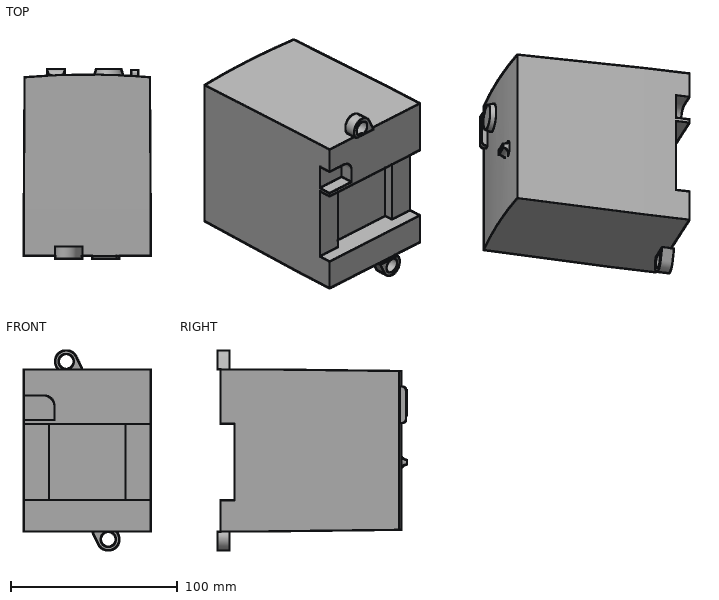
import cadquery as cq
import math

width = 76.2
height = 97.2
base_depth = 28.2
corner_depth = 107.0
crest_depth = 108.6
side_taper = 0.5
top_taper = 1.0

channel_top = 15.8
channel_height = 45.6
channel_depth = 8.4
recess_width = 45.6
recess_depth = 5.8

pocket_length = 18.5
pocket_bottom = 18.1
pocket_height = 14.9
pocket_radius = 6.6

lug_radius = 6.7
lug_hole_radius = 4.4
lug_x = -12.6
lug_z = 60.0 - lug_radius
lug_foot_x = -2.9
lug_thickness = 7.4
lug_front = -1.8

control_back = lug_front + 113.7
control_root = 103.2
knob_x, knob_z = 12.8, 28.5
knob_base_radius = 8.6
knob_tip_radius = 7.5
grip_x, grip_z = -18.7, -7.1
grip_radius = 5.3
grip_half_ridge = 1.4
grip_scoop_radius = grip_radius - grip_half_ridge
slider_x, slider_z = 28.4, 27.4
slider_width = 4.4
slider_height = 22.0
slider_back = 111.3
slider_corner = 2.3


def box(x_min, x_max, y_min, y_max, z_min, z_max):
    size = (x_max - x_min, y_max - y_min, z_max - z_min)
    return cq.Workplane().box(*size, centered=False).translate((x_min, y_min, z_min))


def face_plane(y, x=0, z=0):
    """Plane facing +Y; its local axes are -X and +Z."""
    return cq.Workplane(cq.Plane((x, y, z), (-1, 0, 0), (0, 1, 0)))


def make_housing():
    base = face_plane(0).rect(width, height).extrude(base_depth)
    cover = (
        face_plane(base_depth)
        .rect(width, height)
        .workplane(offset=crest_depth - base_depth)
        .rect(width - 2 * side_taper, height - 2 * top_taper)
        .loft(ruled=True)
    )
    bowed_outline = (
        cq.Workplane()
        .moveTo(-width / 2, 0)
        .lineTo(width / 2, 0)
        .lineTo(width / 2, corner_depth)
        .threePointArc((0, crest_depth), (-width / 2, corner_depth))
        .close()
        .extrude(height / 2, both=True)
    )
    return base.union(cover).intersect(bowed_outline)


def make_rail_cut():
    z_range = (channel_top - channel_height, channel_top)
    channel = box(-width / 2, width / 2, 0, channel_depth, *z_range)
    recess = box(-recess_width / 2, recess_width / 2, 0, channel_depth + recess_depth, *z_range)
    return channel.union(recess)


def make_pocket():
    pocket = box(
        -width / 2, -width / 2 + pocket_length,
        0, channel_depth,
        pocket_bottom, pocket_bottom + pocket_height,
    )
    return pocket.edges("|Y and >X and >Z").fillet(pocket_radius)


def make_lug():
    """Round eye with one straight flank that is tangent to it."""
    foot_dx = lug_foot_x - lug_x
    foot_dz = height / 2 - lug_z
    foot_distance = math.hypot(foot_dx, foot_dz)
    tangent_angle = math.atan2(foot_dz, foot_dx) + math.acos(lug_radius / foot_distance)
    tangent_x = lug_x + lug_radius * math.cos(tangent_angle)
    tangent_z = lug_z + lug_radius * math.sin(tangent_angle)
    root_x = lug_x - math.sqrt(lug_radius**2 - foot_dz**2)
    plane = cq.Workplane("XZ", origin=(0, lug_front, 0))
    body = (
        plane.moveTo(root_x, height / 2)
        .lineTo(lug_foot_x, height / 2)
        .lineTo(tangent_x, tangent_z)
        .threePointArc((lug_x, lug_z + lug_radius), (root_x, height / 2))
        .close()
        .extrude(-lug_thickness)
    )
    hole = plane.center(lug_x, lug_z).circle(lug_hole_radius).extrude(-lug_thickness)
    return body.cut(hole)


def make_knob():
    length = control_back - crest_depth
    draft = math.degrees(math.atan2(knob_base_radius - knob_tip_radius, length))
    root = face_plane(control_root, knob_x, knob_z).circle(knob_base_radius)
    tip = face_plane(crest_depth, knob_x, knob_z).circle(knob_base_radius)
    return root.extrude(crest_depth - control_root).union(tip.extrude(length, taper=draft))


def make_grip():
    """Round button scooped from above and below to leave a finger ridge."""
    grip = face_plane(control_root, grip_x, grip_z).circle(grip_radius)
    grip = grip.extrude(control_back - control_root)
    for side in (-1, 1):
        scoop = (
            cq.Workplane("YZ", origin=(grip_x, control_back, grip_z + side * grip_radius))
            .circle(grip_scoop_radius)
            .extrude(grip_radius, both=True)
        )
        grip = grip.cut(scoop)
    return grip


def make_slider():
    slider = box(
        slider_x - slider_width / 2, slider_x + slider_width / 2,
        control_root, slider_back,
        slider_z - slider_height / 2, slider_z + slider_height / 2,
    )
    return slider.edges("|X and >Y").fillet(slider_corner)


housing = make_housing().cut(make_rail_cut()).cut(make_pocket())
upper_lug = make_lug()
lower_lug = upper_lug.rotate((0, 0, 0), (0, 1, 0), 180)
result = housing
for feature in (upper_lug, lower_lug, make_knob(), make_grip(), make_slider()):
    result = result.union(feature)